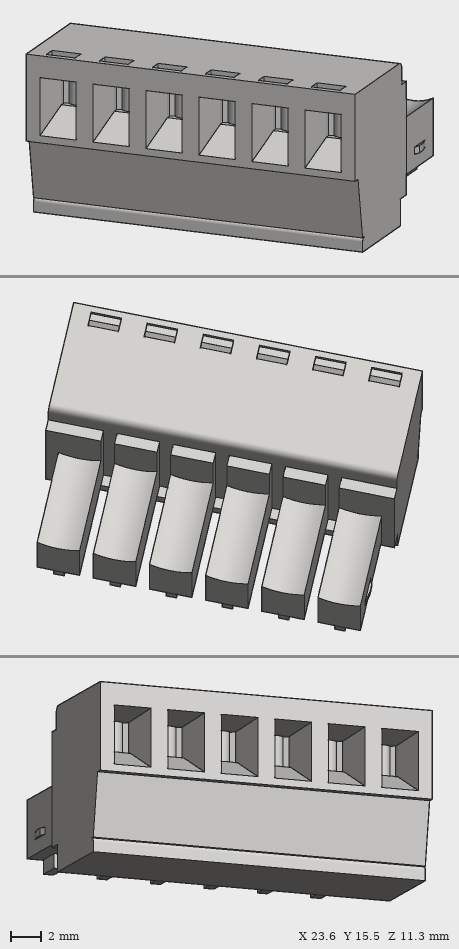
import cadquery as cq
import math


LENGTH = 23.65
HEIGHT = 11.3
TERMINAL_COUNT = 6
PITCH = 3.8

BACK_Y = 8.8
UPPER_WALL_Y = 8.02
LEDGE_Z = 9.75
TOP_FILLET = 0.47
LOWER_WALL_Y = 7.78
LOWER_STEP_Z = 1.87
OVERHANG_Z = 5.27
OVERHANG_DEPTH = 0.5
LIP_Y = 1.28
LIP_Z = 1.0
LIP_FILLET = 0.28

PLUG_TIP_Y = 15.5
PLUG_WIDTH = 2.89
PLUG_BOTTOM_Z = 2.6
PLUG_TOP_Z = 6.6
PLUG_DISH_DEPTH = 0.35

KEY_WIDTH = 0.7
KEY_BOTTOM_Z = 1.6
KEY_FRONT_Y = 13.35
KEY_BACK_Y = 15.3

LATCH_BOTTOM_Z = 3.6
LATCH_HEIGHT = 0.5
LATCH_PROJECTION = 0.17
LATCH_FRONT_Y = 12.27
LATCH_CREST_FRONT_Y = 12.68
LATCH_CREST_BACK_Y = 13.27
LATCH_BACK_Y = 14.07

MOUTH_WIDTH = 2.6
MOUTH_BOTTOM_Z = 5.77
MOUTH_TOP_Z = 9.8
MOUTH_DEPTH = 2.6
THROAT_WIDTH = 1.7
THROAT_BOTTOM_Z = 7.24
THROAT_TOP_Z = 9.4
THROAT_DEPTH = 0.35

POST_WIDTH = 1.06
POST_BULGE = 0.28
FLAT_SLOPE = 34.0

TEST_SLOT_WIDTH = 2.05
TEST_SLOT_FRONT_Y = 0.45
TEST_SLOT_BREAK_Y = 0.95
TEST_SLOT_BACK_Y = 1.45
SHELF_DEPTH = 0.24
TEST_SLOT_DEPTH = 0.6

terminal_xs = [(i - (TERMINAL_COUNT - 1) / 2) * PITCH for i in range(TERMINAL_COUNT)]


def extrude_along_x(section, width, x_center=0.0):
    """Extrude a closed YZ outline by width, centred on x_center."""
    return section.extrude(width / 2, both=True).translate((x_center, 0, 0))


def box_between(x_center, width, y_range, z_range):
    """Box centred on x_center, spanning the given Y and Z ranges."""
    y_size = y_range[1] - y_range[0]
    z_size = z_range[1] - z_range[0]
    box = cq.Workplane("XY").box(width, y_size, z_size, centered=(True, False, False))
    return box.translate((x_center, y_range[0], z_range[0]))


def make_body():
    arc_share = math.sqrt(0.5)
    top_arc_y = UPPER_WALL_Y - TOP_FILLET * (1 - arc_share)
    top_arc_z = HEIGHT - TOP_FILLET * (1 - arc_share)
    lip_arc_y = LIP_Y + LIP_FILLET * (1 - arc_share)
    lip_arc_z = LIP_Z - LIP_FILLET * (1 - arc_share)
    section = (
        cq.Workplane("YZ")
        .moveTo(0, OVERHANG_Z)
        .lineTo(0, HEIGHT)
        .lineTo(UPPER_WALL_Y - TOP_FILLET, HEIGHT)
        .threePointArc((top_arc_y, top_arc_z), (UPPER_WALL_Y, HEIGHT - TOP_FILLET))
        .lineTo(UPPER_WALL_Y, LEDGE_Z)
        .lineTo(BACK_Y, LEDGE_Z)
        .lineTo(BACK_Y, LOWER_STEP_Z)
        .lineTo(LOWER_WALL_Y, LOWER_STEP_Z)
        .lineTo(LOWER_WALL_Y, 0)
        .lineTo(LIP_Y, 0)
        .lineTo(LIP_Y, LIP_Z - LIP_FILLET)
        .threePointArc((lip_arc_y, lip_arc_z), (LIP_Y + LIP_FILLET, LIP_Z))
        .lineTo(LIP_Y, LIP_Z)
        .lineTo(OVERHANG_DEPTH, OVERHANG_Z)
        .close()
    )
    return extrude_along_x(section, LENGTH)


def make_plug(x_center):
    """Plug with a dished top, rooted at the back of the body, and its key."""
    half_width = PLUG_WIDTH / 2
    plug = (
        cq.Workplane("XZ", origin=(x_center, BACK_Y, 0))
        .moveTo(-half_width, PLUG_BOTTOM_Z)
        .lineTo(-half_width, PLUG_TOP_Z)
        .threePointArc((0, PLUG_TOP_Z - PLUG_DISH_DEPTH), (half_width, PLUG_TOP_Z))
        .lineTo(half_width, PLUG_BOTTOM_Z)
        .close()
        .extrude(BACK_Y - PLUG_TIP_Y)
    )
    key = box_between(x_center, KEY_WIDTH, (KEY_FRONT_Y, KEY_BACK_Y), (KEY_BOTTOM_Z, PLUG_BOTTOM_Z))
    return plug.union(key)


def make_latch(side):
    """Latch bump on the end plug at side = -1 or +1."""
    wall_x = side * (terminal_xs[-1] + PLUG_WIDTH / 2)
    crest_x = wall_x + side * LATCH_PROJECTION
    return (
        cq.Workplane("XY", origin=(0, 0, LATCH_BOTTOM_Z))
        .moveTo(wall_x, LATCH_FRONT_Y)
        .lineTo(crest_x, LATCH_CREST_FRONT_Y)
        .lineTo(crest_x, LATCH_CREST_BACK_Y)
        .lineTo(wall_x, LATCH_BACK_Y)
        .close()
        .extrude(LATCH_HEIGHT)
    )


def make_wire_entry(x_center):
    """Cutter for the tapered mouth and the throat that ends at the clamp post."""
    mouth_center_z = (MOUTH_BOTTOM_Z + MOUTH_TOP_Z) / 2
    throat_center_z = (THROAT_BOTTOM_Z + THROAT_TOP_Z) / 2
    throat_height = THROAT_TOP_Z - THROAT_BOTTOM_Z
    mouth = (
        cq.Workplane("XZ", origin=(x_center, 0, mouth_center_z))
        .rect(MOUTH_WIDTH, MOUTH_TOP_Z - MOUTH_BOTTOM_Z)
        .workplane(offset=-MOUTH_DEPTH)
        .center(0, throat_center_z - mouth_center_z)
        .rect(THROAT_WIDTH, throat_height)
        .loft(ruled=True)
    )
    half_throat = THROAT_WIDTH / 2
    half_post = POST_WIDTH / 2
    throat_end_y = MOUTH_DEPTH + THROAT_DEPTH
    post_edge_y = throat_end_y + (half_throat - half_post) * math.tan(math.radians(FLAT_SLOPE))
    throat = (
        cq.Workplane("XY", origin=(x_center, 0, THROAT_BOTTOM_Z))
        .moveTo(-half_throat, MOUTH_DEPTH)
        .lineTo(-half_throat, throat_end_y)
        .lineTo(-half_post, post_edge_y)
        .threePointArc((0, post_edge_y - POST_BULGE), (half_post, post_edge_y))
        .lineTo(half_throat, throat_end_y)
        .lineTo(half_throat, MOUTH_DEPTH)
        .close()
        .extrude(throat_height)
    )
    return mouth.union(throat)


def make_test_slot(x_center):
    """Cutter for the test slot in the top face."""
    section = (
        cq.Workplane("YZ")
        .moveTo(TEST_SLOT_FRONT_Y, HEIGHT)
        .lineTo(TEST_SLOT_FRONT_Y, HEIGHT - SHELF_DEPTH)
        .lineTo(TEST_SLOT_BREAK_Y, HEIGHT - SHELF_DEPTH)
        .lineTo(TEST_SLOT_BACK_Y, HEIGHT - TEST_SLOT_DEPTH)
        .lineTo(TEST_SLOT_BACK_Y, HEIGHT)
        .close()
    )
    return extrude_along_x(section, TEST_SLOT_WIDTH, x_center)


def make_gap(x_center):
    """Cutter that carries the gap between two plugs into the back of the body."""
    return box_between(x_center, PITCH - PLUG_WIDTH, (UPPER_WALL_Y, BACK_Y), (PLUG_BOTTOM_Z, LEDGE_Z))


result = make_body()
for x in terminal_xs:
    result = result.union(make_plug(x))
    result = result.cut(make_wire_entry(x))
    result = result.cut(make_test_slot(x))
for x in terminal_xs[:-1]:
    result = result.cut(make_gap(x + PITCH / 2))
for side in (-1, 1):
    result = result.union(make_latch(side))